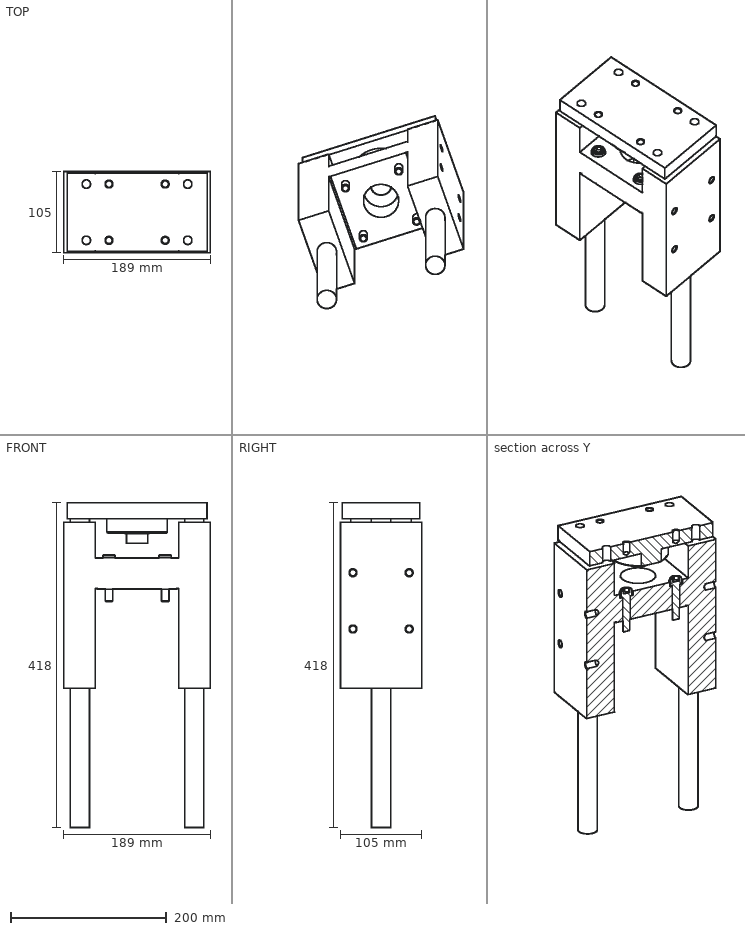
import cadquery as cq
import math

housing_length = 189.0
housing_width = 105.0
housing_height = 213.5
leg_thickness = 41.0
bridge_top_depth = 46.0
bridge_thickness = 40.0
bridge_bore_diameter = 45.0
relief_width = 2.5
relief_depth = 1.0

overall_height = 418.0
plate_length = 180.0
plate_width = 100.0
plate_thickness = 21.0
plate_gap = 4.0
plate_hole_diameter = 11.0
plate_hole_spacing = 130.5
rod_diameter = 25.0
rod_spacing = 147.0
boss_diameter = 78.0
boss_height = 18.5
boss_chamfer = 1.5
spigot_diameter = 27.5
collar_diameter = 30.0
collar_height = 1.0
spigot_height = 13.0
spigot_chamfer = 0.5

pattern_pitch = 72.5
tapped_hole_diameter = 8.5
tapped_hole_mouth_diameter = 10.0
tapped_hole_depth = 15.0
drill_point_angle = 118.0
side_holes_centre_from_top = 101.0

screw_diameter = 10.0
screw_length = 50.0
screw_tip_chamfer = 1.3
head_diameter = 16.0
head_height = 10.0
head_chamfer = 1.3
socket_across_corners = 10.0
socket_sides = 6
socket_turn = 180 / socket_sides
socket_depth = 5.0
head_recess_diameter = 18.5
head_recess_depth = 6.0

bridge_length = housing_length - 2 * leg_thickness
bridge_top = housing_height - bridge_top_depth
bridge_bottom = bridge_top - bridge_thickness
plate_bottom = housing_height + plate_gap
plate_top = plate_bottom + plate_thickness
rod_bottom = plate_top - overall_height
screw_seat = bridge_top - head_recess_depth
side_holes_centre = housing_height - side_holes_centre_from_top
half_pitch = pattern_pitch / 2
square_pattern = [(a, b) for a in (-half_pitch, half_pitch) for b in (-half_pitch, half_pitch)]
rod_places = [(-rod_spacing / 2, 0), (rod_spacing / 2, 0)]


def cylinder(diameter, bottom, top):
    """Upright cylinder on the Z axis between two heights."""
    return cq.Workplane("XY").workplane(offset=bottom).circle(diameter / 2).extrude(top - bottom)


def block(length, width, bottom, top):
    """Upright block centred on the Z axis between two heights."""
    return cq.Workplane("XY").workplane(offset=bottom).rect(length, width).extrude(top - bottom)


def tapped_hole():
    """Cutter for a blind hole with a drill point, going down from the origin."""
    radius = tapped_hole_diameter / 2
    mouth_radius = tapped_hole_mouth_diameter / 2
    chamfer = mouth_radius - radius
    point_depth = radius / math.tan(math.radians(drill_point_angle / 2))
    return (
        cq.Workplane("XZ")
        .moveTo(0, 0)
        .lineTo(mouth_radius, 0)
        .lineTo(radius, -chamfer)
        .lineTo(radius, -tapped_hole_depth)
        .lineTo(0, -tapped_hole_depth - point_depth)
        .close()
        .revolve(360, (0, 0, 0), (0, 1, 0))
    )


def make_housing():
    """H-shaped housing, bored for the rods and drilled for the screws."""
    housing = block(housing_length, housing_width, 0, housing_height)
    housing = housing.cut(block(bridge_length, housing_width, bridge_top, housing_height))
    housing = housing.cut(block(bridge_length, housing_width, 0, bridge_bottom))

    for side in (-1, 1):
        groove = block(relief_width, housing_width, bridge_bottom, bridge_bottom + relief_depth)
        housing = housing.cut(groove.translate((side * (bridge_length - relief_width) / 2, 0, 0)))

    housing = housing.cut(cylinder(bridge_bore_diameter, bridge_bottom, bridge_top))
    for x, y in rod_places:
        housing = housing.cut(cylinder(rod_diameter, 0, housing_height).translate((x, y, 0)))
    for x, y in square_pattern:
        housing = housing.cut(cylinder(screw_diameter, bridge_bottom, bridge_top).translate((x, y, 0)))
        housing = housing.cut(cylinder(head_recess_diameter, screw_seat, bridge_top).translate((x, y, 0)))

    for side in (-1, 1):
        cutter = tapped_hole().rotate((0, 0, 0), (0, 1, 0), side * 90)
        for y, z in square_pattern:
            housing = housing.cut(cutter.translate((side * housing_length / 2, y, side_holes_centre + z)))
    return housing


def make_slide():
    """Plate with the boss and both guide rods hanging from it."""
    slide = block(plate_length, plate_width, plate_bottom, plate_top)
    for x, y in square_pattern:
        slide = slide.cut(tapped_hole().translate((x, y, plate_top)))
    for x in (-plate_hole_spacing / 2, plate_hole_spacing / 2):
        for y in (-half_pitch, half_pitch):
            slide = slide.cut(cylinder(plate_hole_diameter, plate_bottom, plate_top).translate((x, y, 0)))

    for x, y in rod_places:
        rod = cylinder(rod_diameter, rod_bottom, plate_bottom)
        slide = slide.union(rod.translate((x, y, 0)))

    boss_bottom = plate_bottom - boss_height
    spigot_bottom = boss_bottom - spigot_height
    boss = cylinder(boss_diameter, boss_bottom, plate_bottom).faces("<Z").chamfer(boss_chamfer)
    spigot = cylinder(spigot_diameter, spigot_bottom, boss_bottom).faces("<Z").chamfer(spigot_chamfer)
    collar = cylinder(collar_diameter, boss_bottom - collar_height, boss_bottom)
    return slide.union(boss).union(collar).union(spigot)


def make_screw():
    """Hexagon-socket cap screw on the Z axis, seated in the bridge recess."""
    head_top = screw_seat + head_height
    head = cylinder(head_diameter, screw_seat, head_top).faces(">Z").chamfer(head_chamfer)
    shank = cylinder(screw_diameter, screw_seat - screw_length, screw_seat)
    shank = shank.faces("<Z").chamfer(screw_tip_chamfer)
    socket = (
        cq.Workplane("XY")
        .workplane(offset=head_top - socket_depth)
        .transformed(rotate=(0, 0, socket_turn))
        .polygon(socket_sides, socket_across_corners)
        .extrude(socket_depth)
    )
    return head.union(shank).cut(socket)


housing = make_housing()
slide = make_slide()
screws = [make_screw().translate((x, y, 0)) for x, y in square_pattern]

result = cq.Compound.makeCompound([housing.val(), slide.val(), *[screw.val() for screw in screws]])